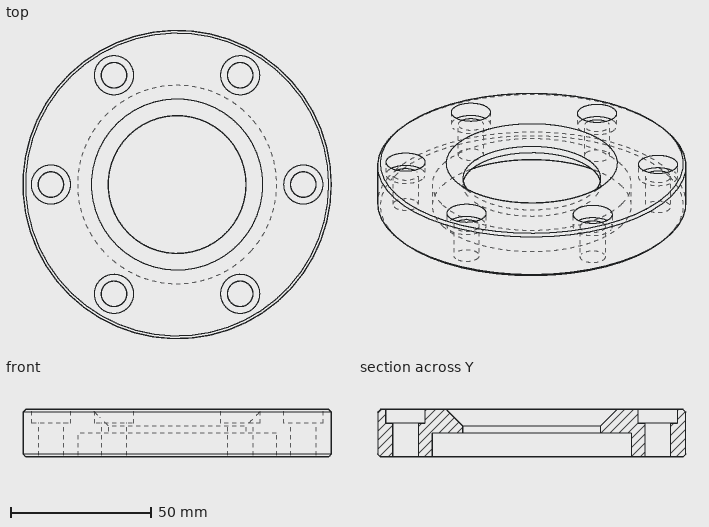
import cadquery as cq

outer_diameter = 110.0
thickness = 17.0
edge_chamfer = 1.0

throat_diameter = 49.1
mouth_diameter = 61.0
mouth_depth = (mouth_diameter - throat_diameter) / 2
throat_length = 2.5
recess_diameter = 71.0

bolt_count = 6
bolt_circle_diameter = 90.0
bolt_hole_diameter = 9.0
counterbore_diameter = 14.0
counterbore_depth = 5.0


def ring_body():
    return cq.Workplane("XY").circle(outer_diameter / 2).extrude(thickness).edges().chamfer(edge_chamfer)


def central_opening():
    """Revolved cutter: flared mouth, straight throat and wide round recess below."""
    throat_radius = throat_diameter / 2
    throat_top = thickness - mouth_depth
    throat_bottom = throat_top - throat_length
    return (
        cq.Workplane("XZ")
        .moveTo(0, 0)
        .lineTo(recess_diameter / 2, 0)
        .lineTo(recess_diameter / 2, throat_bottom)
        .lineTo(throat_radius, throat_bottom)
        .lineTo(throat_radius, throat_top)
        .lineTo(mouth_diameter / 2, thickness)
        .lineTo(0, thickness)
        .close()
        .revolve(360, (0, 0, 0), (0, 1, 0))
    )


def drill_bolt_holes(body):
    return (
        body.faces(">Z")
        .workplane(origin=(0, 0, thickness))
        .polarArray(bolt_circle_diameter / 2, 0, 360, bolt_count)
        .cboreHole(bolt_hole_diameter, counterbore_diameter, counterbore_depth)
    )


result = drill_bolt_holes(ring_body().cut(central_opening()))